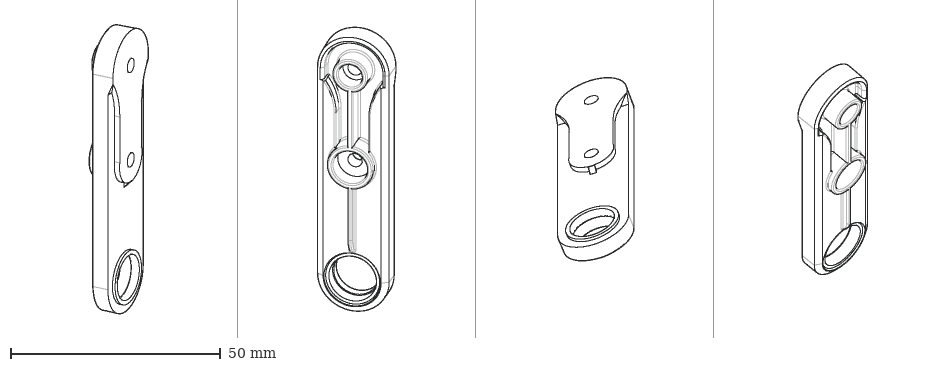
import cadquery as cq
import math

length = 72.9
width = 18.0
end_radius = width / 2
head_z = length - end_radius
mid_z = 39.5

tip_x = 0.0
face_x = 1.9
floor_x = 4.95
plate_back_x = 7.0
ring_back_x = 7.7
back_x = 8.4

draft = 1.0
low_overrun = (back_x - plate_back_x) * math.tan(math.radians(draft))
low_z = end_radius - low_overrun

bevel_depth = 1.0
bevel_width = 1.7

pocket_head_radius = 7.3
pocket_half_width = 4.1
pocket_shoulder_z = 60.8
pocket_shoulder_half = 6.7
neck_z = 52.65
wall = 1.45
bulge_half_width = pocket_half_width + wall
bulge_flare_z = 62.4
head_slope_z = 59.3
gusset_size = 1.5
gusset_width = 1.6
floor_fillet = 0.45
face_fillet = 0.4

rim_radius = 0.9

head_boss_radius = 4.3
head_bore_radius = 3.0
mid_boss_radius = 5.7
mid_bore_radius = 4.3
bore_floor_x = 4.4
pin_hole_radius = 1.75
boss_edge_fillet = 0.4

upper_rib_width = 1.45
lower_rib_width = 1.2
rib_edge_fillet = 0.4
rib_run_out_top = 20.3
rib_run_out_bottom = 16.2

large_hole_radius = 5.6
counterbore_radius = 5.9
counterbore_floor_x = 5.5
recess_radius = 7.0
recess_floor_radius = 6.7
recess_depth = 0.45
ring_radius = 6.7


def x_plane(x):
    """Sketch plane at a given X, with local axes Y and Z."""
    return cq.Workplane("YZ", origin=(x, 0, 0))


def disc(radius, z, x_start, x_end):
    return x_plane(x_start).center(0, z).circle(radius).extrude(x_end - x_start)


def bar(bar_width, x_start, x_end, z_start, z_end):
    size = (x_end - x_start, bar_width, z_end - z_start)
    return cq.Workplane("XY").box(*size, centered=(False, True, False)).translate((x_start, 0, z_start))


def flank_middle(half_width, top_half_width, top_z):
    """Middle point of the arc that leaves the straight neck tangentially and reaches the given top point."""
    run = top_half_width - half_width
    rise = top_z - neck_z
    radius = (run ** 2 + rise ** 2) / (2 * run)
    angle = math.asin(rise / radius) / 2
    return half_width + radius * (1 - math.cos(angle)), neck_z + radius * math.sin(angle)


def keyhole(x_start, x_end, head_radius, top_half_width, top_z, half_width):
    """Round head, curved flanks and a narrow neck that ends in a half circle about the middle boss."""
    flank_y, flank_z = flank_middle(half_width, top_half_width, top_z)
    depth = x_end - x_start
    neck = (
        x_plane(x_start)
        .moveTo(-half_width, mid_z)
        .lineTo(-half_width, neck_z)
        .threePointArc((-flank_y, flank_z), (-top_half_width, top_z))
        .lineTo(top_half_width, top_z)
        .threePointArc((flank_y, flank_z), (half_width, neck_z))
        .lineTo(half_width, mid_z)
        .threePointArc((0, mid_z - half_width), (-half_width, mid_z))
        .close()
        .extrude(depth)
    )
    head = (
        x_plane(x_start)
        .moveTo(-head_radius, top_z)
        .lineTo(-head_radius, head_z)
        .threePointArc((0, head_z + head_radius), (head_radius, head_z))
        .lineTo(head_radius, top_z)
        .close()
        .extrude(depth)
    )
    return neck.union(head)


def make_blank():
    """Round-ended bar of full thickness with drafted sides and the wide bevel round its front edge."""
    blank = (
        x_plane(back_x)
        .center(0, (low_z + head_z) / 2)
        .slot2D(length + low_overrun, width, 90)
        .extrude(face_x - back_x, taper=draft)
    )
    return blank.faces("<X").chamfer(bevel_depth, bevel_width)


def make_bulge():
    """Thickened back: full round head, flared flanks and neck, with a slope and a gusset below."""
    bulge = keyhole(plate_back_x, back_x, end_radius, end_radius, bulge_flare_z, bulge_half_width)
    slope = (
        cq.Workplane("XZ", origin=(0, end_radius, 0))
        .moveTo(plate_back_x, head_slope_z)
        .lineTo(back_x, bulge_flare_z)
        .lineTo(plate_back_x, bulge_flare_z)
        .close()
        .extrude(width)
    )
    bulge_end_z = mid_z - bulge_half_width
    gusset = (
        cq.Workplane("XZ", origin=(0, gusset_width / 2, 0))
        .moveTo(plate_back_x, bulge_end_z - gusset_size)
        .lineTo(back_x, bulge_end_z)
        .lineTo(back_x, mid_z)
        .lineTo(plate_back_x, mid_z)
        .close()
        .extrude(gusset_width)
    )
    return bulge.union(slope).union(gusset)


def make_pocket(islands):
    """Pocket cutter with the islands left standing and fillets where walls meet the floor."""
    pocket = keyhole(
        tip_x, floor_x, pocket_head_radius, pocket_shoulder_half, pocket_shoulder_z, pocket_half_width
    ).cut(islands)
    return pocket.faces(">X").edges().fillet(floor_fillet)


def make_rim_rounding():
    """Cutter that rolls the bevel over into the pocket round the head."""
    crest_radius = pocket_head_radius + rim_radius
    crest_x = face_x + bevel_depth * (crest_radius - (end_radius - bevel_width)) / bevel_width
    arc_offset = rim_radius * (1 - math.sqrt(0.5))

    def profile(side):
        return (
            cq.Workplane("XY", origin=(0, 0, head_z))
            .moveTo(tip_x, side * crest_radius)
            .lineTo(crest_x, side * crest_radius)
            .threePointArc(
                (crest_x + arc_offset, side * (pocket_head_radius + arc_offset)),
                (crest_x + rim_radius, side * pocket_head_radius),
            )
            .lineTo(tip_x, side * pocket_head_radius)
            .close()
        )

    rounding = profile(1).revolve(180, (0, 0, 0), (1, 0, 0))
    for side in (-1, 1):
        rounding = rounding.union(profile(side).extrude(pocket_shoulder_z - head_z))
    return rounding


def make_boss(radius, bore_radius, z):
    boss = disc(radius, z, tip_x, back_x).cut(disc(bore_radius, z, tip_x, bore_floor_x))
    boss = boss.cut(disc(pin_hole_radius, z, tip_x, back_x))
    return boss.faces("<X").edges().fillet(boss_edge_fillet)


def make_upper_rib():
    bottom_z = mid_z + mid_bore_radius + boss_edge_fillet
    top_z = head_z - head_bore_radius - boss_edge_fillet
    rib = bar(upper_rib_width, tip_x, floor_x, bottom_z, top_z)
    return rib.faces("<X").edges("|Z").fillet(rib_edge_fillet)


def make_lower_rib():
    """Rib below the middle boss, its crest curving down into the plate."""
    rise = face_x - tip_x
    run = rib_run_out_top - rib_run_out_bottom
    radius = (rise ** 2 + run ** 2) / (2 * rise)
    angle = math.asin(run / radius) / 2
    top_z = mid_z - mid_bore_radius - boss_edge_fillet
    rib = (
        cq.Workplane("XZ", origin=(0, lower_rib_width / 2, 0))
        .moveTo(tip_x, top_z)
        .lineTo(tip_x, rib_run_out_top)
        .threePointArc(
            (tip_x + radius * (1 - math.cos(angle)), rib_run_out_top - radius * math.sin(angle)),
            (face_x, rib_run_out_bottom),
        )
        .lineTo(floor_x, rib_run_out_bottom)
        .lineTo(floor_x, top_z)
        .close()
        .extrude(lower_rib_width)
    )
    crest_middle = (tip_x, 0, (top_z + rib_run_out_top) / 2)
    crest = cq.selectors.NearestToPointSelector(crest_middle)
    return rib.faces(crest).edges("|Z").fillet(rib_edge_fillet)


blank = make_blank()
plate = blank.intersect(bar(width, face_x, plate_back_x, -length, length))
body = plate.union(make_bulge().intersect(blank))

islands = (
    disc(head_boss_radius, head_z, tip_x, floor_x)
    .union(disc(mid_boss_radius, mid_z, tip_x, floor_x))
    .union(bar(upper_rib_width, tip_x, floor_x, mid_z, head_z))
)
body = body.cut(make_pocket(islands)).cut(make_rim_rounding())
for boss_z, boss_radius, bore_radius in (
    (head_z, head_boss_radius, head_bore_radius),
    (mid_z, mid_boss_radius, mid_bore_radius),
):
    body = body.cut(disc(boss_radius, boss_z, tip_x, back_x))
    body = body.union(make_boss(boss_radius, bore_radius, boss_z))
body = body.union(make_upper_rib()).union(make_lower_rib())

zone_margin = 0.1
face_zone = cq.selectors.BoxSelector(
    (face_x - zone_margin, -pocket_shoulder_half, rib_run_out_bottom + zone_margin),
    (face_x + zone_margin, pocket_shoulder_half, pocket_shoulder_z - zone_margin),
)
body = body.edges(face_zone).fillet(face_fillet)

body = body.union(disc(ring_radius, low_z, floor_x, ring_back_x))
recess = (
    x_plane(face_x)
    .center(0, low_z)
    .circle(recess_radius)
    .workplane(offset=recess_depth)
    .circle(recess_floor_radius)
    .loft()
)
body = body.cut(recess)
body = body.cut(disc(counterbore_radius, low_z, tip_x, counterbore_floor_x))
body = body.cut(disc(large_hole_radius, low_z, tip_x, ring_back_x))

result = body